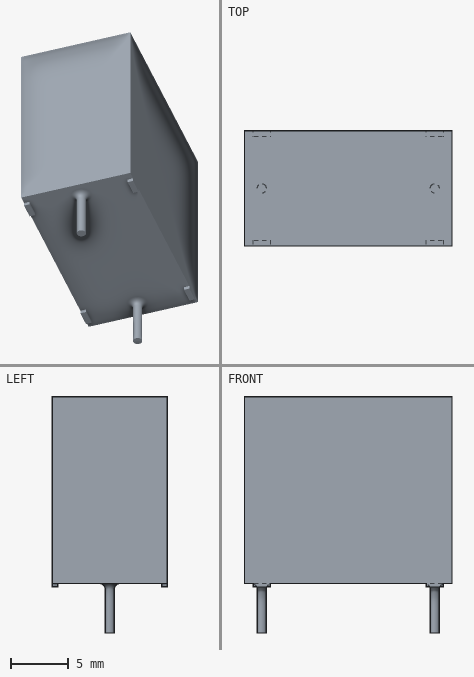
import cadquery as cq
import math

body_length = 18.0
body_width = 10.0
overall_height = 20.5

foot_length = 1.5
foot_width = 0.5
foot_height = 0.3

pin_pitch = 15.0
pin_diameter = 0.8
pin_length_below_feet = 4.0
flare_radius = 0.5

body_height = overall_height - foot_height - pin_length_below_feet
pin_positions_x = (-pin_pitch / 2, pin_pitch / 2)


def make_body():
    return (
        cq.Workplane("XY", origin=(0, 0, foot_height))
        .box(body_length, body_width, body_height, centered=(True, True, False))
    )


def make_foot(center_x, side):
    """Rectangular foot flush with the body face on the given Y side (-1 or 1)."""
    center_y = side * (body_width - foot_width) / 2
    return (
        cq.Workplane("XY", origin=(center_x, center_y, 0))
        .box(foot_length, foot_width, foot_height, centered=(True, True, False))
    )


def make_pin(center_x):
    """Pin revolved about its own axis, with a concave quarter-round flare at the top."""
    pin_radius = pin_diameter / 2
    flare_outer_radius = pin_radius + flare_radius
    flare_bottom_z = foot_height - flare_radius
    arc_inset = flare_radius * (1 - math.sqrt(0.5))
    arc_middle = (pin_radius + arc_inset, foot_height - arc_inset)
    return (
        cq.Workplane("XZ", origin=(center_x, 0, 0))
        .moveTo(0, -pin_length_below_feet)
        .lineTo(pin_radius, -pin_length_below_feet)
        .lineTo(pin_radius, flare_bottom_z)
        .threePointArc(arc_middle, (flare_outer_radius, foot_height))
        .lineTo(0, foot_height)
        .close()
        .revolve(360, (0, 0, 0), (0, 1, 0))
    )


result = make_body()
for pin_x in pin_positions_x:
    result = result.union(make_pin(pin_x))
    for foot_side in (-1, 1):
        result = result.union(make_foot(pin_x, foot_side))